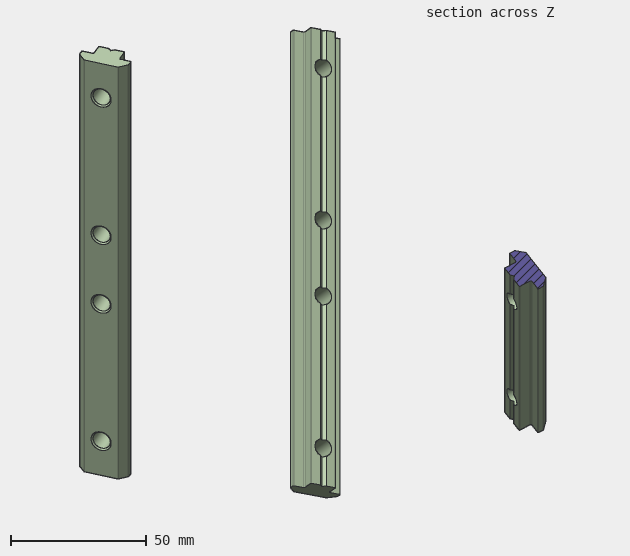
import cadquery as cq

length = 180.0
flange_width = 19.5
height = 10.6

flange_thickness = 5.4
flange_chamfer = 3.0
stem_width = 10.2
groove_width = 2.5
groove_depth = 1.0

edge_radius = 0.3
flange_side_radius = 0.5
stem_root_radius = 0.5

thread_diameter = 8.0
core_diameter = 6.8
inner_hole_spacing = 30.0
outer_hole_spacing = 150.0

half_flange = flange_width / 2
half_stem = stem_width / 2
half_groove = groove_width / 2

face_corner = (half_flange - flange_chamfer, 0)
side_corner = (half_flange, flange_chamfer)
shoulder_corner = (half_flange, flange_thickness)
root_corner = (half_stem, flange_thickness)
stem_corner = (half_stem, height)
groove_corner = (half_groove, height)
groove_bottom = (0, height - groove_depth)

corner_radii = [
    (face_corner, edge_radius),
    (side_corner, flange_side_radius),
    (shoulder_corner, edge_radius),
    (root_corner, stem_root_radius),
    (stem_corner, edge_radius),
]


def mirrored(point):
    """Point reflected to the other side of the profile's centreline."""
    x, y = point
    return (-x, y)


def make_bar():
    """Sharp-edged T profile with the flange face at Y = 0, extruded along Z."""
    right_half = [corner for corner, radius in corner_radii] + [groove_corner]
    left_half = [mirrored(point) for point in reversed(right_half)]
    outline = right_half + [groove_bottom] + left_half
    return cq.Workplane("XY").polyline(outline).close().extrude(length)


def round_edge(bar, corner, radius):
    """Fillet the lengthwise edge that runs through a profile corner."""
    x, y = corner
    edge_middle = (x, y, length / 2)
    return bar.edges(cq.selectors.NearestToPointSelector(edge_middle)).fillet(radius)


def make_hole(z):
    """Through hole along Y at height z, countersunk to thread size at the flange face."""
    countersink_depth = (thread_diameter - core_diameter) / 2
    flange_face = cq.Workplane("XZ").center(0, z)
    core = flange_face.circle(core_diameter / 2).extrude(-height)
    countersink = (
        flange_face.circle(thread_diameter / 2)
        .workplane(offset=-countersink_depth)
        .circle(core_diameter / 2)
        .loft()
    )
    return core.union(countersink)


result = make_bar()

for corner, radius in corner_radii:
    result = round_edge(result, corner, radius)
    result = round_edge(result, mirrored(corner), radius)

for spacing in (inner_hole_spacing, outer_hole_spacing):
    for side in (-1, 1):
        result = result.cut(make_hole(length / 2 + side * spacing / 2))